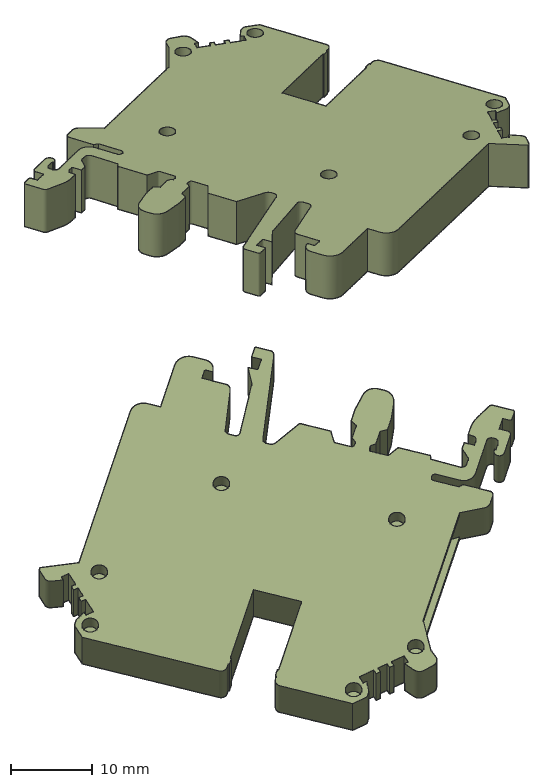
import cadquery as cq
import math


thickness = 6.2
top_y = 46.0
body_left = 3.2
body_right = 45.95
tip_x = 50.35

head_center_x = 25.35
clip_upper = (8.45, 42.1)
clip_lower = (4.05, 37.65)
clip_depth = 1.0
lip_step = 0.35
rib_width = 0.6
rib_height = 0.6
rib_positions = (0.37, 0.67)

slot_left = 18.2
slot_right = 24.35
slot_floor = 33.65
slot_mouth_radius = 0.8
detent_top = 44.75
detent_bottom = 43.85
detent_depth = 0.15

shoulder_bottom = 32.05
lobe_top = 16.0
lobe_bottom = 12.0
arm_slot_end = 7.95
arm_slot_top = 12.45
arm_slot_bottom = 11.5
arm_slot_end_radius = 0.45

arm_outside = 2.9
arm_inside = 4.35
hook_outside = 0.35
hook_inside = 1.45
hook_top = 6.8
hook_floor = 4.55
hook_end_radius = 0.6
left_toe_x = 0.8
left_heel_x = 5.35
leg_toe_x = 33.9
leg_groove_x = 32.6
right_foot_left = 37.85
right_foot_right = 42.6
right_foot_bottom = 3.45
right_foot_top = 11.5
groove_lip = 4.9
rail_face = 9.05
peg_x = 17.3
peg_recess_top = 10.5
leg_slot_top = 12.95
rail_lip = 6.15
foot_groove_top = 3.05
foot_groove_bottom = 1.5

pocket_depth = 6.05
pocket_skin = 0.6
pocket_upper_slope = 4.7
pocket_lower_slope = 4.35

pin_diameter = 2.0
pin_depth = 2.0
pin_centers = [
    (8.6, 44.05), (2 * head_center_x - 8.6, 44.05),
    (3.0, 36.0), (43.2, 36.4),
    (10.3, 19.05), (32.35, 20.05),
]


def mirrored(corners):
    """Reflect corners about the head center line, keeping the same turning direction."""
    return [(2 * head_center_x - x, *rest) for x, *rest in reversed(corners)]


def shoulder_clip():
    """Left recess: upper hook, back face with two small ribs, start of the lower hook."""
    diagonal = 1 / math.sqrt(2)
    back = (clip_lower[0] - clip_upper[0], clip_lower[1] - clip_upper[1])
    upper_end = (clip_upper[0] - clip_depth * diagonal, clip_upper[1] + clip_depth * diagonal)
    lower_end = (clip_lower[0] - clip_depth * diagonal, clip_lower[1] + clip_depth * diagonal)
    half = rib_width / 2 * diagonal
    rise = rib_height * diagonal
    corners = [
        (8.15, top_y),
        (6.75, 44.6, 0.4),
        (6.75, 43.8, 0.4),
        (upper_end[0] - lip_step, upper_end[1] - lip_step),
        upper_end,
        clip_upper,
    ]
    for position in rib_positions:
        x = clip_upper[0] + position * back[0]
        y = clip_upper[1] + position * back[1]
        corners += [
            (x + half, y + half),
            (x + half - rise, y + half + rise),
            (x - half - rise, y - half + rise),
            (x - half, y - half),
        ]
    corners += [clip_lower, lower_end, (lower_end[0] + lip_step, lower_end[1] + lip_step)]
    return corners


def left_side():
    """Rounded lower hook of the left clip, left wall, lobe and the slot above the arm."""
    return [
        (1.6, 39.55, 1.1),
        (0.0, 37.75, 0.7),
        (0.0, 36.95, 0.7),
        (1.1, 35.95),
        (body_left, shoulder_bottom),
        (body_left, lobe_top),
        (0.0, 14.2, 1.0),
        (0.0, lobe_bottom, 0.5),
        (3.95, lobe_bottom),
        (arm_inside, arm_slot_top),
        (arm_slot_end, arm_slot_top, arm_slot_end_radius),
        (arm_slot_end, arm_slot_bottom, arm_slot_end_radius),
    ]


def left_foot():
    """Bent arm with a release hook outside and a rail groove inside."""
    return [
        (arm_outside, arm_slot_bottom, 1.5),
        (arm_outside, hook_floor, hook_end_radius),
        (hook_inside, hook_floor, hook_end_radius),
        (hook_inside, 6.05),
        (1.65, 6.05),
        (1.65, hook_top, hook_end_radius),
        (hook_outside, hook_top, hook_end_radius),
        (hook_outside, foot_groove_top, 0.5),
        (1.9, foot_groove_top),
        (1.9, foot_groove_bottom),
        (left_toe_x, foot_groove_bottom, 0.25),
        (left_toe_x, 0.0, 0.25),
        (3.9, 0.0, 0.5),
        (left_heel_x, 3.0, 4.05),
        (left_heel_x, groove_lip),
        (4.2, 5.0, 0.5),
        (4.2, rail_lip),
        (5.5, rail_lip),
        (5.5, 7.05),
        (arm_inside, 8.2),
        (arm_inside, 9.65, 0.6),
        (8.7, 9.55),
        (8.9, rail_face),
    ]


def rail_peg():
    """Symmetric bullet-shaped peg hanging in a recess of the rail face."""
    half = [
        (4.3, rail_face),
        (3.4, peg_recess_top, 0.25),
        (0.95, peg_recess_top, 0.35),
        (0.95, 9.75),
        (1.5, 9.3),
        (1.5, 7.45),
        (2.3, 6.95),
        (2.3, 5.3, 1.5),
        (1.75, 1.6, 1.6),
    ]
    left = [(peg_x - x, *rest) for x, *rest in half]
    right = [(peg_x + x, *rest) for x, *rest in reversed(half)]
    return left + right


def spring_leg():
    """Slanted leg between two slots, with a hook at its lower end."""
    return [
        (25.55, rail_face),
        (27.85, leg_slot_top, 0.8),
        (29.2, leg_slot_top, 0.65),
        (31.4, 0.0, 0.6),
        (leg_toe_x, 0.0, 0.2),
        (leg_toe_x, foot_groove_bottom),
        (leg_groove_x, foot_groove_bottom),
        (leg_groove_x, foot_groove_top, 0.2),
        (leg_toe_x, foot_groove_top),
        (32.75, 5.2),
        (32.15, leg_slot_top, 0.5),
        (34.0, leg_slot_top, 0.6),
    ]


def right_side():
    """Fixed foot, straight right edge and the pointed lower hook of the right clip."""
    return [
        (35.2, rail_lip, 0.75),
        (38.85, rail_lip),
        (38.85, groove_lip, 0.2),
        (right_foot_left, groove_lip),
        (right_foot_left, right_foot_bottom, 1.3),
        (right_foot_right, right_foot_bottom, 1.8),
        (right_foot_right, right_foot_top),
        (body_right, right_foot_top, 1.7),
        (body_right, 35.8),
        (tip_x, 37.8),
        (tip_x, 38.1),
        (49.0, 39.5, 0.8),
    ]


def wire_slot():
    """Slot open at the top edge, with a small detent on each wall near its mouth."""
    return [
        (slot_right, top_y, slot_mouth_radius),
        (slot_right, detent_top),
        (slot_right - detent_depth, detent_top),
        (slot_right - detent_depth, detent_bottom),
        (slot_right, detent_bottom),
        (slot_right, slot_floor),
        (slot_left, slot_floor),
        (slot_left, detent_bottom),
        (slot_left + detent_depth, detent_bottom),
        (slot_left + detent_depth, detent_top),
        (slot_left, detent_top),
        (slot_left, top_y, slot_mouth_radius),
    ]


def rounded_outline(corners):
    """Closed wire through the corners, each rounded one replaced by a tangent arc."""
    sketch = cq.Workplane("XY")
    for i, (x, y, *radius) in enumerate(corners):
        corner = cq.Vector(x, y)
        if radius:
            before = (cq.Vector(*corners[i - 1][:2]) - corner).normalized()
            after = (cq.Vector(*corners[(i + 1) % len(corners)][:2]) - corner).normalized()
            half_angle = before.getAngle(after) / 2
            tangent_length = radius[0] / math.tan(half_angle)
            apex_distance = radius[0] / math.sin(half_angle) - radius[0]
            start = corner + before * tangent_length
            middle = corner + (before + after).normalized() * apex_distance
            end = corner + after * tangent_length
            sketch = sketch.lineTo(start.x, start.y)
            sketch = sketch.threePointArc((middle.x, middle.y), (end.x, end.y))
        elif i == 0:
            sketch = sketch.moveTo(x, y)
        else:
            sketch = sketch.lineTo(x, y)
    return sketch.close()


def housing():
    clip = shoulder_clip()
    corners = clip + left_side() + left_foot() + rail_peg() + spring_leg() + right_side()
    corners += mirrored(clip) + wire_slot()
    return rounded_outline(corners).extrude(thickness)


def side_pocket():
    """Trapezoidal pocket opening through the left wall, between two thin skins."""
    back = body_left + pocket_depth
    return (
        cq.Workplane("XY", origin=(0, 0, pocket_skin))
        .polyline([
            (body_left, shoulder_bottom),
            (back, shoulder_bottom - pocket_upper_slope),
            (back, lobe_top + pocket_lower_slope),
            (body_left, lobe_top),
        ])
        .close()
        .extrude(thickness - 2 * pocket_skin)
    )


def pin_holes():
    return (
        cq.Workplane("XY", origin=(0, 0, thickness - pin_depth))
        .pushPoints(pin_centers)
        .circle(pin_diameter / 2)
        .extrude(pin_depth)
    )


result = housing().cut(side_pocket()).cut(pin_holes())